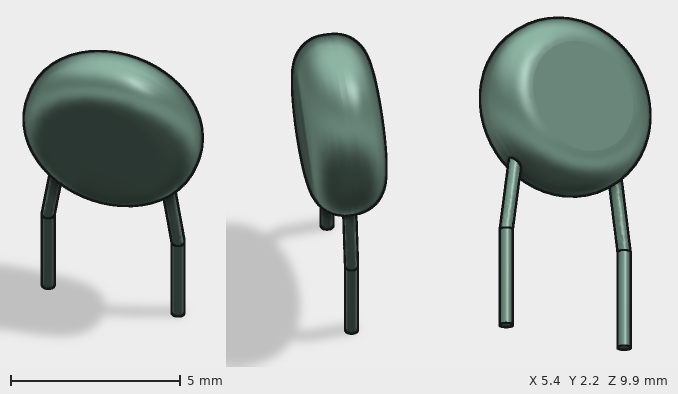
import cadquery as cq

disc_diameter = 5.4
disc_thickness = 2.2
rim_radius = 1.0

overall_height = 9.9
wire_diameter = 0.4
lead_pitch = 4.0
straight_length = 3.0
slanted_rise = 2.67
slanted_shift = 0.37

disc_center_z = overall_height - disc_diameter / 2


def make_disc():
    """Rounded disc standing on edge, its thickness centred on Y = 0."""
    return (
        cq.Workplane("XZ", origin=(0, disc_thickness / 2, disc_center_z))
        .circle(disc_diameter / 2)
        .extrude(disc_thickness)
        .edges()
        .fillet(rim_radius)
    )


def make_straight_lead(side):
    """Vertical lower wire; side is -1 for left and +1 for right."""
    return (
        cq.Workplane("XY")
        .center(side * lead_pitch / 2, 0)
        .circle(wire_diameter / 2)
        .extrude(straight_length)
    )


def make_slanted_lead(side, disc):
    """Upper wire leaning inward from the straight lead to the disc surface."""
    wire = (
        cq.Workplane("XY", origin=(side * lead_pitch / 2, 0, straight_length))
        .circle(wire_diameter / 2)
        .workplane(offset=slanted_rise)
        .center(-side * slanted_shift, 0)
        .circle(wire_diameter / 2)
        .loft(ruled=True)
    )
    return wire.cut(disc)


disc = make_disc()
bodies = [disc.val()]
for side in (-1, 1):
    bodies.extend(make_straight_lead(side).vals())
    bodies.extend(make_slanted_lead(side, disc).solids().vals())

result = cq.Compound.makeCompound(bodies)